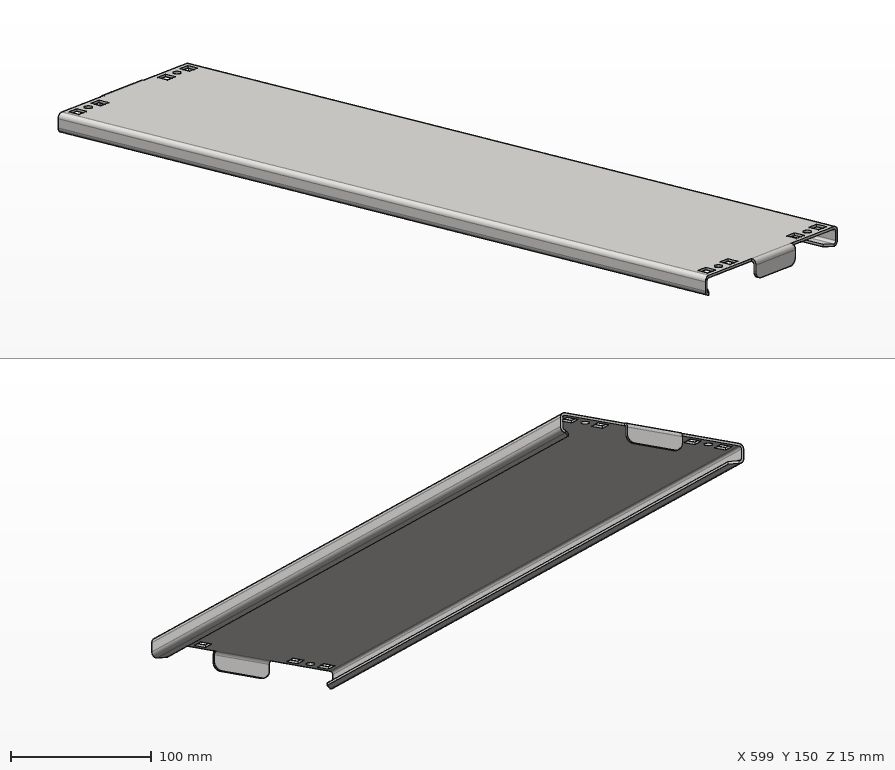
import cadquery as cq

LENGTH = 599.0
WIDTH = 150.0
HEIGHT = 15.0

THICKNESS = 2.0
BEND_RADIUS = 4.0
INNER_RADIUS = BEND_RADIUS - THICKNESS

SHELF_LENGTH = LENGTH - 2 * BEND_RADIUS
LIP_WIDTH = 9.5
LIP_MITRE = LIP_WIDTH - BEND_RADIUS

TAB_WIDTH = 45.0
TAB_CORNER_RADIUS = 6.0

SQUARE_INSET = 8.5
ROUND_INSET = 8.0
GROUP_OFFSET = 50.5
SQUARE_SPACING = 25.0
SQUARE_SIZE = 9.0
ROUND_DIAMETER = 6.0


def make_shelf():
    """Flat sheet with both long sides folded down and back inward."""
    inside_width = WIDTH - 2 * THICKNESS
    inside_height = HEIGHT - 2 * THICKNESS
    opening_width = WIDTH - 2 * LIP_WIDTH
    body = cq.Workplane("XY").box(SHELF_LENGTH, WIDTH, HEIGHT).edges("|X").fillet(BEND_RADIUS)
    inside = cq.Workplane("XY").box(SHELF_LENGTH, inside_width, inside_height)
    inside = inside.edges("|X").fillet(INNER_RADIUS)
    opening = cq.Workplane("XY", origin=(0, 0, -HEIGHT / 2)).rect(SHELF_LENGTH, opening_width)
    opening = opening.extrude(THICKNESS)
    return body.cut(inside).cut(opening).translate((0, 0, HEIGHT / 2))


def make_lip_mitres():
    """Cutters that slope the four lip ends back from the bend to the free edge."""
    mitre = (
        cq.Workplane("XY")
        .moveTo(SHELF_LENGTH / 2, WIDTH / 2 - BEND_RADIUS)
        .line(-LIP_MITRE, -LIP_MITRE)
        .line(LIP_MITRE, 0)
        .close()
        .extrude(THICKNESS)
    )
    end_mitres = mitre.union(mitre.mirror("XZ"))
    return end_mitres.union(end_mitres.mirror("YZ"))


def make_end_tab():
    """Tab at the +X end: a quarter bend, then a flat leg with rounded lower corners."""
    shelf_end = SHELF_LENGTH / 2
    outer_face = LENGTH / 2
    bend_center_z = HEIGHT - BEND_RADIUS
    tab = (
        cq.Workplane("XZ")
        .moveTo(shelf_end, HEIGHT)
        .radiusArc((outer_face, bend_center_z), BEND_RADIUS)
        .lineTo(outer_face, 0)
        .lineTo(outer_face - THICKNESS, 0)
        .lineTo(outer_face - THICKNESS, bend_center_z)
        .radiusArc((shelf_end, HEIGHT - THICKNESS), -INNER_RADIUS)
        .close()
        .extrude(TAB_WIDTH / 2, both=True)
    )
    return tab.faces("<Z").edges("|X").fillet(TAB_CORNER_RADIUS)


def make_holes():
    """Cutters for the four groups: one round hole between two square holes."""
    square_x = SHELF_LENGTH / 2 - SQUARE_INSET
    round_x = SHELF_LENGTH / 2 - ROUND_INSET
    squares = []
    rounds = []
    for end in (-1, 1):
        for group_y in (-GROUP_OFFSET, GROUP_OFFSET):
            rounds.append((end * round_x, group_y))
            squares.append((end * square_x, group_y - SQUARE_SPACING / 2))
            squares.append((end * square_x, group_y + SQUARE_SPACING / 2))
    top_sheet = cq.Workplane("XY", origin=(0, 0, HEIGHT - THICKNESS))
    square_holes = top_sheet.pushPoints(squares).rect(SQUARE_SIZE, SQUARE_SIZE).extrude(THICKNESS)
    round_holes = top_sheet.pushPoints(rounds).circle(ROUND_DIAMETER / 2).extrude(THICKNESS)
    return square_holes.union(round_holes)


end_tab = make_end_tab()
shelf = make_shelf().cut(make_lip_mitres()).cut(make_holes())
result = shelf.union(end_tab).union(end_tab.mirror("YZ"))